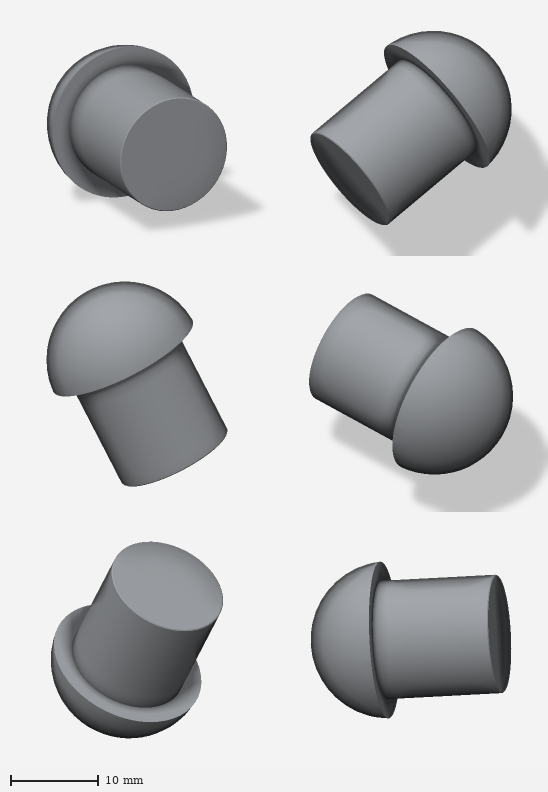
import cadquery as cq

total_length = 21.95
head_diameter = 18.0
head_height = 8.47
shank_diameter = 13.6
end_chamfer = 0.1

head_radius = head_diameter / 2
dome_radius = (head_radius**2 + head_height**2) / (2 * head_height)


def make_head():
    """Spherical cap with its tip at X = 0 and its flat face towards +X."""
    sphere = cq.Workplane("XY").sphere(dome_radius).translate((dome_radius, 0, 0))
    cap_envelope = cq.Workplane("YZ").circle(2 * dome_radius).extrude(head_height)
    return sphere.intersect(cap_envelope)


def make_shank():
    """Round shank behind the head, with a small chamfer on its free end."""
    shank_length = total_length - head_height
    return (
        cq.Workplane("YZ", origin=(head_height, 0, 0))
        .circle(shank_diameter / 2)
        .extrude(shank_length)
        .faces(">X")
        .chamfer(end_chamfer)
    )


result = make_head().union(make_shank())